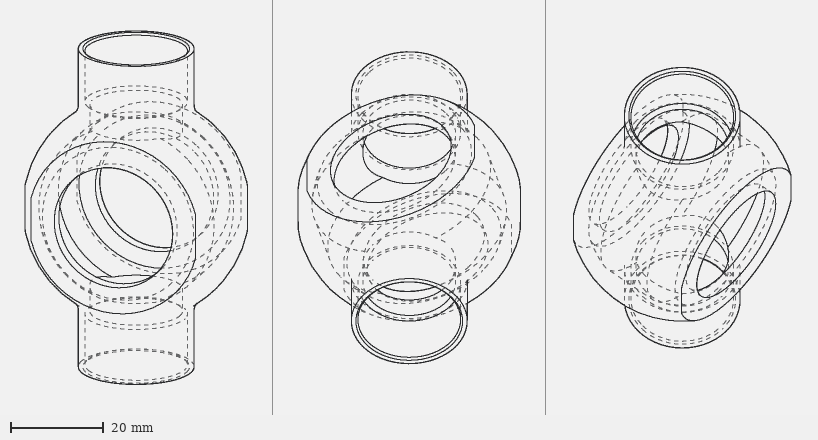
import cadquery as cq
import math

ball_diameter = 49.0
body_width = 48.0
body_thickness = 30.0

overall_height = 72.0
neck_diameter = 25.0
neck_blend_radius = 4.0

bore_diameter = 20.0
socket_diameter = 22.15
socket_depth = 12.0
socket_floor_angle = 30.0
mouth_diameter = 23.0
mouth_chamfer_depth = 0.5

cross_bore_diameter = 27.0
chamber_diameter = 40.0
chamber_sphere_diameter = 42.0
lip_thickness = 3.0


def cylinder_y(diameter, length):
    """Cylinder along Y, centred on the origin."""
    return cq.Workplane("XZ", origin=(0, length / 2, 0)).circle(diameter / 2).extrude(length)


def mirrored_revolve(upper_profile):
    """Revolve a closed half profile about Z and repeat it below the XY plane."""
    upper = upper_profile.revolve(360, (0, 0, 0), (0, 1, 0))
    return upper.union(upper.mirror("XY"))


def ball_with_necks():
    """Ball with a cylindrical equator band and necks blended in by tangent fillets."""
    ball_radius = ball_diameter / 2
    neck_radius = neck_diameter / 2
    band_radius = body_width / 2
    band_top = math.sqrt(ball_radius**2 - band_radius**2)

    blend_x = neck_radius + neck_blend_radius
    blend_distance = ball_radius + neck_blend_radius
    blend_z = math.sqrt(blend_distance**2 - blend_x**2)
    touch_angle = math.atan2(blend_z, blend_x)
    touch = (ball_radius * math.cos(touch_angle), ball_radius * math.sin(touch_angle))

    ball_mid_angle = (math.atan2(band_top, band_radius) + touch_angle) / 2
    ball_mid = (ball_radius * math.cos(ball_mid_angle), ball_radius * math.sin(ball_mid_angle))
    blend_mid = (
        blend_x - neck_blend_radius * math.cos(touch_angle / 2),
        blend_z - neck_blend_radius * math.sin(touch_angle / 2),
    )

    profile = (
        cq.Workplane("XZ")
        .lineTo(band_radius, 0)
        .lineTo(band_radius, band_top)
        .threePointArc(ball_mid, touch)
        .threePointArc(blend_mid, (neck_radius, blend_z))
        .lineTo(neck_radius, overall_height / 2)
        .lineTo(0, overall_height / 2)
        .close()
    )
    return mirrored_revolve(profile)


def flat_sided_body():
    slab = cq.Workplane("XY").box(body_width * 2, body_thickness, overall_height)
    return ball_with_necks().intersect(slab)


def neck_bore():
    """Through bore with a socket and a chamfered mouth at each end."""
    end = overall_height / 2
    floor_width = (socket_diameter - bore_diameter) / 2
    floor_drop = floor_width * math.tan(math.radians(socket_floor_angle))
    profile = (
        cq.Workplane("XZ")
        .lineTo(bore_diameter / 2, 0)
        .lineTo(bore_diameter / 2, end - socket_depth - floor_drop)
        .lineTo(socket_diameter / 2, end - socket_depth)
        .lineTo(socket_diameter / 2, end - mouth_chamfer_depth)
        .lineTo(mouth_diameter / 2, end)
        .lineTo(0, end)
        .close()
    )
    return mirrored_revolve(profile)


def cross_bore():
    """Through bore along Y, widened to a chamber between the two end lips."""
    chamber = cylinder_y(chamber_diameter, body_thickness - 2 * lip_thickness)
    chamber = chamber.intersect(cq.Workplane("XY").sphere(chamber_sphere_diameter / 2))
    return cylinder_y(cross_bore_diameter, body_thickness).union(chamber)


result = flat_sided_body().cut(neck_bore()).cut(cross_bore())